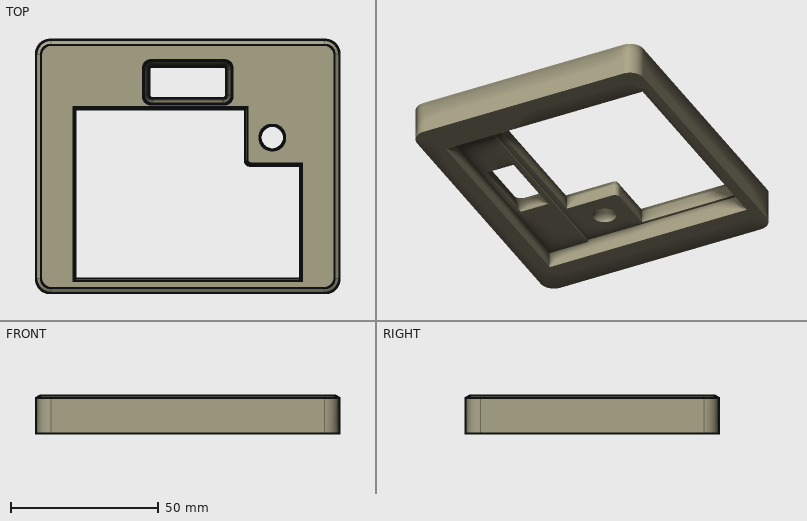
import cadquery as cq

LENGTH = 103.0
WIDTH = 86.0
HEIGHT = 13.0
CORNER_RADIUS = 5.0
RIM_BEVEL_WIDTH = 1.8
RIM_BEVEL_DROP = 1.0

PLATE_THICKNESS = 6.3
STRIP_THICKNESS = 7.1
PLATE_BOTTOM = HEIGHT - PLATE_THICKNESS
STRIP_BOTTOM = HEIGHT - STRIP_THICKNESS
POCKET_CLEARANCE = 1.0
POCKET_BACK = 35.8

WINDOW_SIDE = 38.0
WINDOW_BACK = 19.4
NOTCH_X = 19.4
NOTCH_Y = 0.2
NOTCH_RADIUS = 2.0
WINDOW_BEVEL_WIDTH = 0.8
WINDOW_BEVEL_DROP = 1.9

EDGE_BEVEL = 0.3

HOLE_DIAMETER = 8.0
HOLE_RADIUS = HOLE_DIAMETER / 2
HOLE_X = (NOTCH_X + WINDOW_SIDE) / 2
HOLE_Y = (NOTCH_Y + WINDOW_BACK) / 2

SLOT_LENGTH = 25.9
SLOT_WIDTH = 10.5
SLOT_LEDGE = 0.2
SLOT_LIP_HEIGHT = 0.2
SLOT_FLARE = 1.8
SLOT_BOTTOM_RADIUS = 1.2
SLOT_TOP_RADIUS = 2.7
SLOT_Y = 28.5
STRIP_FRONT = (WINDOW_BACK + SLOT_Y - SLOT_WIDTH / 2) / 2


def rounded_outline(length, width, radius, center_y, z):
    """Rectangle with rounded corners at height z, centered on X."""
    sketch = cq.Sketch().rect(length, width).vertices().fillet(radius)
    outline = sketch.reset().faces().vals()[0].outerWire()
    return outline.translate(cq.Vector(0, center_y, z))


def lofted(lower, upper):
    """Solid with straight sides between two closed outlines."""
    return cq.Workplane(cq.Solid.makeLoft([lower, upper], True))


def block():
    """Outer block with rounded upright corners and a shallow bevel around its top."""
    bevel_base = HEIGHT - RIM_BEVEL_DROP
    bottom = rounded_outline(LENGTH, WIDTH, CORNER_RADIUS, 0, 0)
    shoulder = rounded_outline(LENGTH, WIDTH, CORNER_RADIUS, 0, bevel_base)
    top = rounded_outline(
        LENGTH - 2 * RIM_BEVEL_WIDTH,
        WIDTH - 2 * RIM_BEVEL_WIDTH,
        CORNER_RADIUS - RIM_BEVEL_WIDTH,
        0,
        HEIGHT,
    )
    return lofted(bottom, shoulder).union(lofted(shoulder, top))


def pocket_recess(back, height):
    """Part of the underside recess that reaches back to the given Y."""
    side = WINDOW_SIDE + POCKET_CLEARANCE
    recess = cq.Workplane("XY").box(2 * side, side + back, height, centered=(True, False, False))
    return recess.translate((0, -side, 0))


def pocket():
    """Recess open at the underside, deeper below the window than below the back strip."""
    return pocket_recess(POCKET_BACK, STRIP_BOTTOM).union(pocket_recess(STRIP_FRONT, PLATE_BOTTOM))


def window_outline(z, growth):
    """Window outline at height z, with every side moved outward by growth."""
    side = WINDOW_SIDE + growth
    back = WINDOW_BACK + growth
    notch_x = NOTCH_X + growth
    notch_y = NOTCH_Y + growth
    radius = NOTCH_RADIUS - growth
    return (
        cq.Workplane("XY", origin=(0, 0, z))
        .moveTo(-side, -side)
        .lineTo(side, -side)
        .lineTo(side, notch_y)
        .lineTo(notch_x + radius, notch_y)
        .radiusArc((notch_x, notch_y + radius), radius)
        .lineTo(notch_x, back)
        .lineTo(-side, back)
        .close()
    )


def window():
    """Straight L-shaped opening that widens in a steep bevel at the top."""
    bevel_base = HEIGHT - WINDOW_BEVEL_DROP
    base = window_outline(bevel_base, 0)
    top = window_outline(HEIGHT, WINDOW_BEVEL_WIDTH)
    straight = window_outline(PLATE_BOTTOM, 0).extrude(PLATE_THICKNESS)
    bevel = lofted(base.val(), top.val())
    return straight.union(bevel)


def slot_outline(growth, radius, z):
    """Slot outline at height z, with every side moved outward by growth."""
    return rounded_outline(SLOT_LENGTH + 2 * growth, SLOT_WIDTH + 2 * growth, radius, SLOT_Y, z)


def slot():
    """Square-cornered opening in a thin lip, with flared walls and a small bevel above it."""
    bevel_base = HEIGHT - EDGE_BEVEL
    lip = cq.Workplane("XY", origin=(0, SLOT_Y, STRIP_BOTTOM)).rect(SLOT_LENGTH, SLOT_WIDTH)
    opening = lip.extrude(SLOT_LIP_HEIGHT)
    wide = SLOT_LEDGE + SLOT_FLARE
    bottom = slot_outline(SLOT_LEDGE, SLOT_BOTTOM_RADIUS, STRIP_BOTTOM + SLOT_LIP_HEIGHT)
    shoulder = slot_outline(wide, SLOT_TOP_RADIUS, bevel_base)
    top = slot_outline(wide + EDGE_BEVEL, SLOT_TOP_RADIUS + EDGE_BEVEL, HEIGHT)
    return opening.union(lofted(bottom, shoulder)).union(lofted(shoulder, top))


def hole():
    """Round hole through the notch tab with a small bevel at the top."""
    axis = cq.Workplane("XY", origin=(HOLE_X, HOLE_Y, PLATE_BOTTOM))
    bore = axis.circle(HOLE_RADIUS).extrude(PLATE_THICKNESS)
    bevel = cq.Solid.makeCone(
        HOLE_RADIUS,
        HOLE_RADIUS + EDGE_BEVEL,
        EDGE_BEVEL,
        pnt=cq.Vector(HOLE_X, HOLE_Y, HEIGHT - EDGE_BEVEL),
    )
    return bore.union(cq.Workplane(bevel))


result = block().cut(pocket()).cut(window()).cut(slot()).cut(hole())